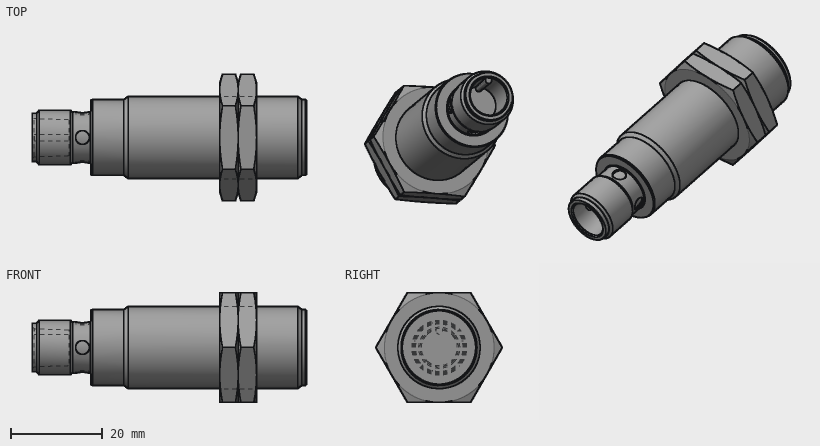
import cadquery as cq
import math

LENGTH = 60.0

TIP_D = 10.6
TIP_LENGTH = 1.0
PLUG_D = 12.0
PLUG_ROOT_D = 10.8
PLUG_CHAMFER = 0.55
PLUG_END = 8.9
NECK_D = 11.3
NECK_FLARE = 0.2

SOCKET_D = 8.4
SOCKET_MOUTH_D = 9.0
SOCKET_CHAMFER = 0.3
SOCKET_FLOOR_D = 7.85
SOCKET_DEPTH = 8.0
KEY_WIDTH = 1.4
KEY_TIP_R = 2.95
KEY_START = 0.4

DIMPLE_D = 3.0
DIMPLE_X = 11.0
DIMPLE_FLOOR_D = 10.4
DIMPLE_COUNT = 4

SHOULDER_X = 12.85
SHOULDER_D = 16.6
SHOULDER_FACE_D = 16.3
END_FACE_D = 16.0
END_CHAMFER = 0.35
THREAD_D = 18.0
THREAD_START = 20.05
THREAD_END = 58.9
THREAD_CHAMFER = 0.9

NUT_FLATS = 24.0
NUT_WIDTH = 4.0
NUT_COUNT = 2
NUT_START = 41.0
NUT_CHAMFER = 0.6
NUT_CORNER_D = NUT_FLATS / math.cos(math.radians(30))


def revolve_about_x(points):
    """Revolve an (x, radius) outline about the X axis."""
    outline = cq.Workplane("XY").polyline(points).close()
    return outline.revolve(360, (0, 0, 0), (1, 0, 0))


def cylinder_on_x(diameter, start, length):
    return cq.Workplane("YZ", origin=(start, 0, 0)).circle(diameter / 2).extrude(length)


def make_outer_form():
    """Stepped round body, solid throughout."""
    return revolve_about_x([
        (0, 0),
        (0, TIP_D / 2),
        (TIP_LENGTH, TIP_D / 2),
        (TIP_LENGTH, PLUG_ROOT_D / 2),
        (TIP_LENGTH + PLUG_CHAMFER, PLUG_D / 2),
        (PLUG_END - PLUG_CHAMFER, PLUG_D / 2),
        (PLUG_END, PLUG_ROOT_D / 2),
        (PLUG_END, NECK_D / 2),
        (SHOULDER_X - NECK_FLARE, NECK_D / 2),
        (SHOULDER_X, NECK_D / 2 + NECK_FLARE),
        (SHOULDER_X, SHOULDER_FACE_D / 2),
        (SHOULDER_X + END_CHAMFER, SHOULDER_D / 2),
        (THREAD_START, SHOULDER_D / 2),
        (THREAD_START + THREAD_CHAMFER, THREAD_D / 2),
        (THREAD_END - THREAD_CHAMFER, THREAD_D / 2),
        (THREAD_END, SHOULDER_D / 2),
        (LENGTH - END_CHAMFER, SHOULDER_D / 2),
        (LENGTH, END_FACE_D / 2),
        (LENGTH, 0),
    ])


def make_socket():
    """Blind bore with a chamfered mouth, narrowing slightly towards its floor."""
    return revolve_about_x([
        (0, 0),
        (0, SOCKET_MOUTH_D / 2),
        (SOCKET_CHAMFER, SOCKET_D / 2),
        (SOCKET_DEPTH, SOCKET_FLOOR_D / 2),
        (SOCKET_DEPTH, 0),
    ])


def make_key():
    """Round-nosed rib along the top of the socket."""
    half_width = KEY_WIDTH / 2
    nose_center = KEY_TIP_R + half_width
    root = (SOCKET_D + TIP_D) / 4
    return (
        cq.Workplane("YZ", origin=(KEY_START, 0, 0))
        .moveTo(-half_width, root)
        .lineTo(-half_width, nose_center)
        .threePointArc((0, KEY_TIP_R), (half_width, nose_center))
        .lineTo(half_width, root)
        .close()
        .extrude(SOCKET_DEPTH - KEY_START)
    )


def make_dimples():
    """Radial pockets whose floors follow the round neck."""
    pin = cq.Workplane("XY", origin=(DIMPLE_X, 0, 0)).circle(DIMPLE_D / 2).extrude(NECK_D)
    core = cylinder_on_x(DIMPLE_FLOOR_D, DIMPLE_X - DIMPLE_D, 2 * DIMPLE_D)
    pocket = pin.cut(core)
    return [
        pocket.rotate((0, 0, 0), (1, 0, 0), index * 360 / DIMPLE_COUNT)
        for index in range(DIMPLE_COUNT)
    ]


def make_housing():
    housing = make_outer_form().cut(make_socket()).union(make_key())
    for dimple in make_dimples():
        housing = housing.cut(dimple)
    return housing


def make_nut(start):
    """Hexagon nut with flats up and down, its corners chamfered on both faces."""
    hexagon = (
        cq.Workplane("YZ", origin=(start, 0, 0))
        .polygon(6, NUT_CORNER_D)
        .extrude(NUT_WIDTH)
    )
    corner_limit = revolve_about_x([
        (start, 0),
        (start, NUT_FLATS / 2),
        (start + NUT_CHAMFER, NUT_CORNER_D / 2),
        (start + NUT_WIDTH - NUT_CHAMFER, NUT_CORNER_D / 2),
        (start + NUT_WIDTH, NUT_FLATS / 2),
        (start + NUT_WIDTH, 0),
    ])
    bore = cylinder_on_x(THREAD_D, start, NUT_WIDTH)
    return hexagon.intersect(corner_limit).cut(bore)


housing = make_housing()
nuts = [make_nut(NUT_START + index * NUT_WIDTH) for index in range(NUT_COUNT)]

result = cq.Compound.makeCompound([housing.val(), *[nut.val() for nut in nuts]])